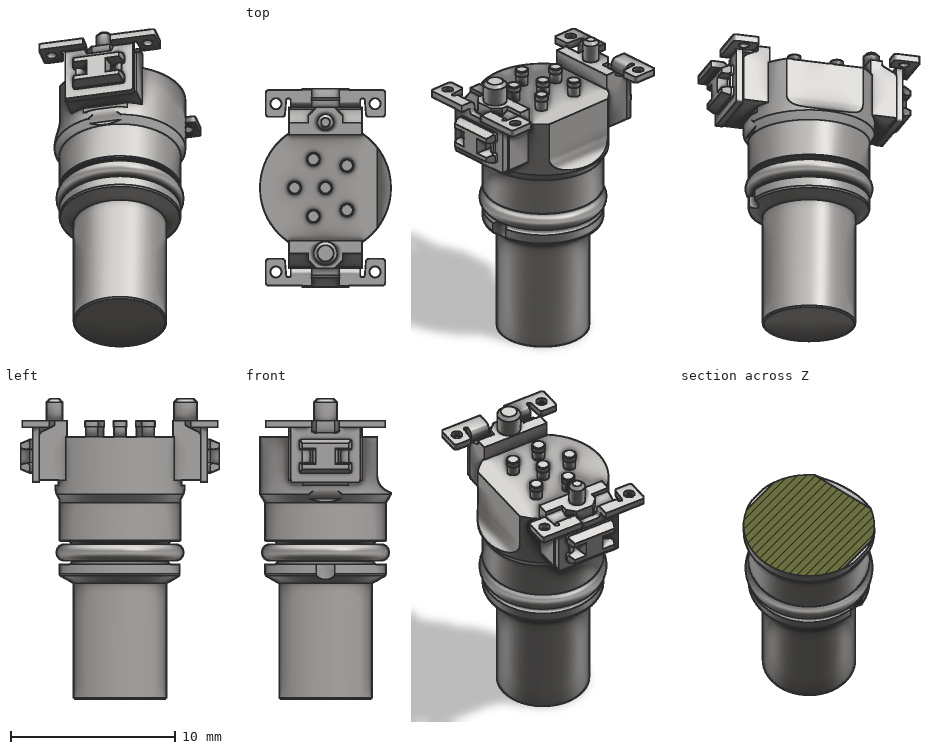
import cadquery as cq
import math

body_diameter = 8.0
overall_depth = 12.1
overall_height = 18.3

cut_margin = 0.18

body_radius = body_diameter / 2
drum_radius = 3.7
tube_radius = 2.84
groove_radius = 2.87
tube_chamfer = 0.1
rim_chamfer = 0.07
groove_chamfer = 0.2

flange_cone_bottom = 7.05
flange_cone_top = 7.5
flange_cone_radius = 3.65
flange_rim_bottom = 7.63
flange_top = 8.2
drum_bottom = 9.6
drum_top = 11.97
body_bottom = 12.48
body_top = 15.98

ring_section_radius = 0.51
ring_outer_radius = 3.88
ring_height = 8.93

relief_x = 3.17
relief_start = 13.58
relief_arc_radius = 0.97
relief_arc_angle = 63

block_flat_y = 3.75
block_flat_bottom = 13.01
notch_top_y = 3.95
notch_arc_start = 12.92
notch_arc_end = 12.37
notch_arc_radius = 1.15
notch_floor_y = 3.71
notch_floor_top = 12.2

key_radius = 0.6
key_depth_y = 3.25

pin_circle_radius = 1.88
pin_pitch_angle = 67
pin_radius = 0.37
pin_head_radius = 0.4
pin_head_height = 0.37
pin_chamfer = 0.05

top_level = 16.96
block_half_width = 2.23
block_inner_y = 3.22
block_outer_y = 4.9
block_bottom = 13.34
pocket_inner_y = 3.97
pocket_wall_bottom = 16.7
pocket_slope_start_y = 4.08
pocket_slope_start = 16.62
pocket_slope_end_y = 4.8
pocket_slope_end = 16.27
pocket_lip = 16.12
boss_half_width = 1.06
boss_tip_half_width = 0.57
boss_taper_y = 4.4

peg_y = 3.99
peg_top = overall_height
front_peg_radius = 0.71
back_peg_radius = 0.5
peg_chamfer = 0.22

clip_thickness = 0.42
clip_bend_radius = 0.4
clip_outer_y = 5.97
clip_plate_half_width = 2.12
clip_plate_bottom = 13.2
clip_plate_corner = 0.15
ear_corner = 0.18
ear_outer_x = 3.65
ear_tip_x = 2.47
ear_root_x = 2.38
ear_inner_y = 4.32
slot_end_y = 5.44
slot_end_fillet = 0.11
ear_hole_x = 3.02
ear_hole_y = 5.12
ear_hole_radius = 0.33
clip_notch_width = 1.7
clip_notch_floor = 16.21
clip_notch_fillet = 0.22

lug_outer_y = overall_depth / 2
lug_centre = 14.79
lug_half_width = 1.61
lug_arm_fillet = 0.16
lug_half_height = 1.02
lug_inset_x = 0.2
lug_inset_z = 0.24
lug_base_depth = 0.16
window_x = 0.77
window_half_height = 0.38
window_flare_x = 0.18
window_flare_z = 0.11
tongue_inner_x = 0.92
tongue_outer_x = 1.43

plate_face_y = block_outer_y + clip_thickness
lug_base_y = plate_face_y + lug_base_depth


def box(x0, x1, y0, y1, z0, z1):
    return cq.Workplane("XY").box(x1 - x0, y1 - y0, z1 - z0, centered=False).translate((x0, y0, z0))


def both_sides(solid):
    """A solid joined with its mirror image across the XZ plane."""
    return solid.union(solid.mirror("XZ"))


def turned_body():
    profile = [
        (0, 0),
        (tube_radius - tube_chamfer, 0),
        (tube_radius, tube_chamfer),
        (tube_radius, flange_cone_bottom),
        (flange_cone_radius, flange_cone_top),
        (drum_radius, flange_rim_bottom),
        (drum_radius, flange_top),
        (groove_radius + groove_chamfer, flange_top),
        (groove_radius, flange_top + groove_chamfer),
        (groove_radius, drum_bottom - groove_chamfer),
        (groove_radius + groove_chamfer, drum_bottom),
        (drum_radius - rim_chamfer, drum_bottom),
        (drum_radius, drum_bottom + rim_chamfer),
        (drum_radius, drum_top),
        (body_radius, body_bottom),
        (body_radius, body_top),
        (0, body_top),
    ]
    return cq.Workplane("XZ").polyline(profile).close().revolve(360, (0, 0), (0, 1))


def sealing_ring():
    centre = ring_outer_radius - ring_section_radius
    return (
        cq.Workplane("XZ")
        .center(-centre, ring_height)
        .circle(ring_section_radius)
        .revolve(360, (centre, 0), (centre, 1))
    )


def side_relief():
    """Flat on +X that runs out through a concave arc."""
    def on_arc(degrees):
        a = math.radians(degrees)
        x = relief_x + relief_arc_radius * (1 - math.cos(a))
        z = relief_start - relief_arc_radius * math.sin(a)
        return (x, z)

    outer_x = body_radius + cut_margin
    arc_end = on_arc(relief_arc_angle)
    runout_drop = (outer_x - arc_end[0]) / math.tan(math.radians(relief_arc_angle))
    return (
        cq.Workplane("XZ")
        .moveTo(relief_x, body_top)
        .lineTo(relief_x, relief_start)
        .threePointArc(on_arc(relief_arc_angle / 2), arc_end)
        .lineTo(outer_x, arc_end[1] - runout_drop)
        .lineTo(outer_x, body_top)
        .close()
        .extrude(body_radius, both=True)
    )


def side_flat():
    """Flat below a side block, with a shallow notch under it that curves in towards the drum."""
    def arc_y(z):
        drop = notch_arc_start - z
        return notch_top_y - notch_arc_radius + math.sqrt(notch_arc_radius**2 - drop**2)

    outer_y = body_radius + cut_margin
    arc_middle = (notch_arc_start + notch_arc_end) / 2
    return (
        cq.Workplane("YZ")
        .moveTo(block_flat_y, body_top)
        .lineTo(block_flat_y, block_flat_bottom)
        .lineTo(notch_top_y, block_flat_bottom)
        .lineTo(notch_top_y, notch_arc_start)
        .threePointArc((arc_y(arc_middle), arc_middle), (arc_y(notch_arc_end), notch_arc_end))
        .lineTo(notch_floor_y, notch_floor_top)
        .lineTo(notch_floor_y, drum_top)
        .lineTo(outer_y, drum_top)
        .lineTo(outer_y, body_top)
        .close()
        .extrude(body_radius, both=True)
    )


def key_groove():
    """Round upright groove through the flange rim on the -Y side."""
    return (
        cq.Workplane("XY", origin=(0, -key_depth_y - key_radius, flange_cone_bottom))
        .circle(key_radius)
        .extrude(flange_top - flange_cone_bottom)
    )


def contact_pin(x, y):
    head_bottom = top_level - pin_head_height
    shaft = cq.Workplane("XY", origin=(x, y, body_top)).circle(pin_radius).extrude(head_bottom - body_top)
    head = cq.Workplane("XY", origin=(x, y, head_bottom)).circle(pin_head_radius).extrude(pin_head_height)
    return shaft.union(head.faces(">Z").chamfer(pin_chamfer))


def side_block():
    """Block carrying a peg, with sloped pockets on both sides of a tapered boss."""
    block_x = block_half_width
    block = box(-block_x, block_x, block_inner_y, block_outer_y, block_bottom, top_level)
    pocket_outline = [
        (pocket_inner_y, top_level),
        (pocket_inner_y, pocket_wall_bottom),
        (pocket_slope_start_y, pocket_slope_start),
        (pocket_slope_end_y, pocket_slope_end),
        (block_outer_y, pocket_lip),
        (block_outer_y, top_level),
    ]
    pocket = cq.Workplane("YZ").polyline(pocket_outline).close().extrude(block_x, both=True)
    boss_outline = [
        (-boss_half_width, pocket_inner_y),
        (-boss_half_width, boss_taper_y),
        (-boss_tip_half_width, block_outer_y),
        (boss_tip_half_width, block_outer_y),
        (boss_half_width, boss_taper_y),
        (boss_half_width, pocket_inner_y),
    ]
    boss = (
        cq.Workplane("XY", origin=(0, 0, block_bottom))
        .polyline(boss_outline)
        .close()
        .extrude(top_level - block_bottom)
    )
    return block.cut(pocket).union(boss)


def solder_clip():
    """Plate on the block face, bent outwards into a flange with two drilled ears."""
    plate_x = clip_plate_half_width
    plate = box(-plate_x, plate_x, block_outer_y, plate_face_y, clip_plate_bottom, top_level)
    plate = plate.faces("<Z").edges("|Y").fillet(clip_plate_corner)
    bend_edge = cq.selectors.NearestToPointSelector((0, block_outer_y, top_level))
    plate = plate.edges(bend_edge).fillet(clip_bend_radius)

    flange_bottom = top_level - clip_thickness
    flange = box(-ear_outer_x, ear_outer_x, ear_inner_y, clip_outer_y, flange_bottom, top_level)
    slot_outline = [
        (plate_x, ear_inner_y),
        (plate_x, slot_end_y),
        (ear_root_x, slot_end_y),
        (ear_tip_x, ear_inner_y),
    ]
    slot = (
        cq.Workplane("XY", origin=(0, 0, flange_bottom))
        .polyline(slot_outline)
        .close()
        .extrude(clip_thickness)
    )
    slot = slot.faces(">Y").edges("|Z").fillet(slot_end_fillet)
    gap = box(-plate_x, plate_x, ear_inner_y, plate_face_y, flange_bottom, top_level)
    flange = flange.cut(gap).cut(slot).cut(slot.mirror("YZ"))
    flange = flange.edges("|Z").edges("<X or >X or <Y").fillet(ear_corner)
    holes = (
        cq.Workplane("XY", origin=(0, 0, flange_bottom))
        .pushPoints([(-ear_hole_x, ear_hole_y), (ear_hole_x, ear_hole_y)])
        .circle(ear_hole_radius)
        .extrude(clip_thickness)
    )
    notch_x = clip_notch_width / 2
    notch = box(-notch_x, notch_x, block_outer_y, clip_outer_y, clip_notch_floor, top_level)
    notch = notch.faces("<Z").edges("|Y").fillet(clip_notch_fillet)
    return flange.union(plate).cut(holes).cut(notch)


def tapered_block(x, half_width, half_height, inset_x, inset_z):
    """Block between the lug base and the lug face, centred on x, its sides leaning in by the insets."""
    return (
        cq.Workplane("XZ", origin=(x, lug_base_y, lug_centre))
        .rect(2 * half_width, 2 * half_height)
        .workplane(offset=lug_base_y - lug_outer_y)
        .rect(2 * (half_width - inset_x), 2 * (half_height - inset_z))
        .loft(ruled=True)
    )


def lug_slab(x0, x1, y0, y1, half_height):
    return box(x0, x1, y0, y1, lug_centre - half_height, lug_centre + half_height)


def latch_lug():
    """H-shaped lug: a plain base, a tapered head, a flared window in each end and rounded arm ends."""
    base = lug_slab(-lug_half_width, lug_half_width, plate_face_y, lug_base_y, lug_half_height)
    lug = base.union(tapered_block(0, lug_half_width, lug_half_height, lug_inset_x, lug_inset_z))
    arm_limits = lug_slab(-lug_half_width, lug_half_width, plate_face_y, lug_outer_y, lug_half_height)
    window_half_width = lug_half_width - window_x
    for side in (-1, 1):
        end_x = side * lug_half_width
        lug = lug.cut(
            tapered_block(end_x, window_half_width, window_half_height, -window_flare_x, -window_flare_z)
        )
        x0, x1 = sorted((side * tongue_outer_x, end_x))
        lug = lug.cut(lug_slab(x0, x1, plate_face_y, lug_base_y, window_half_height))
        arm_limits = arm_limits.cut(lug_slab(x0, x1, plate_face_y, lug_outer_y, window_half_height))
    arm_limits = arm_limits.edges("|Y").edges("<X or >X").fillet(lug_arm_fillet)
    return lug.intersect(arm_limits)


def tongue_relief():
    """Gap beside the tongue in the +X window, whose inner edge is rolled into the clip plate."""
    roll = tongue_outer_x - tongue_inner_x
    roll_end_y = lug_base_y - roll
    roll_middle = (tongue_outer_x - roll * math.sqrt(0.5), roll_end_y + roll * math.sqrt(0.5))
    return (
        cq.Workplane("XY", origin=(0, 0, lug_centre - window_half_height))
        .moveTo(window_x, lug_base_y)
        .lineTo(window_x, roll_end_y)
        .lineTo(tongue_inner_x, roll_end_y)
        .threePointArc(roll_middle, (tongue_outer_x, lug_base_y))
        .close()
        .extrude(2 * window_half_height)
    )


def locating_peg(y, radius):
    peg = cq.Workplane("XY", origin=(0, y, body_top)).circle(radius).extrude(peg_top - body_top)
    return peg.faces(">Z").chamfer(peg_chamfer)


result = turned_body().cut(side_relief()).cut(both_sides(side_flat())).cut(key_groove())
result = result.union(sealing_ring())
clip_side = side_block().union(solder_clip()).union(latch_lug())
clip_side = clip_side.cut(tongue_relief()).cut(tongue_relief().mirror("YZ"))
result = result.union(both_sides(clip_side))
result = result.union(locating_peg(-peg_y, front_peg_radius))
result = result.union(locating_peg(peg_y, back_peg_radius))

result = result.union(contact_pin(0, 0))
for step in range(-2, 3):
    angle = math.radians(180 + step * pin_pitch_angle)
    pin_x = pin_circle_radius * math.cos(angle)
    pin_y = pin_circle_radius * math.sin(angle)
    result = result.union(contact_pin(pin_x, pin_y))